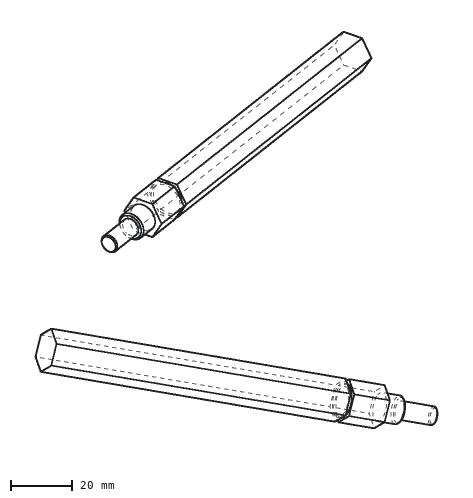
import cadquery as cq
import math

total_length = 142.3
across_flats = 12.7
across_corners = across_flats / math.cos(math.pi / 6)

pin_diameter = 6.3
pin_length = 12.7
pin_chamfer = 0.4

collar_diameter = 9.5
collar_length = 7.3
collar_chamfer = 0.5

groove_diameter = 11.2
groove_width = 1.3
groove_offset = 13.1

collar_start = pin_length
hex_start = collar_start + collar_length
groove_start = hex_start + groove_offset


def section_at(y):
    """Workplane across the axis at position y, with its normal along -Y."""
    return cq.Workplane("XZ", origin=(0, y, 0))


def cylinder(start, length, diameter):
    """Round length of the part running from start toward +Y."""
    return section_at(start).circle(diameter / 2).extrude(-length)


def hex_bar():
    """Hexagonal bar with corners on the X axis and flats facing up and down."""
    return section_at(hex_start).polygon(6, across_corners).extrude(hex_start - total_length)


def groove():
    """Ring that is cut away from the bar to leave a round neck."""
    outer = cylinder(groove_start, groove_width, 2 * across_corners)
    return outer.cut(cylinder(groove_start, groove_width, groove_diameter))


def collar():
    """Round collar in front of the bar, chamfered at its front edge."""
    return cylinder(collar_start, collar_length, collar_diameter).faces("<Y").chamfer(collar_chamfer)


def pin():
    """End pin with a chamfered tip."""
    return cylinder(0, pin_length, pin_diameter).faces("<Y").chamfer(pin_chamfer)


result = hex_bar().cut(groove()).union(collar()).union(pin())